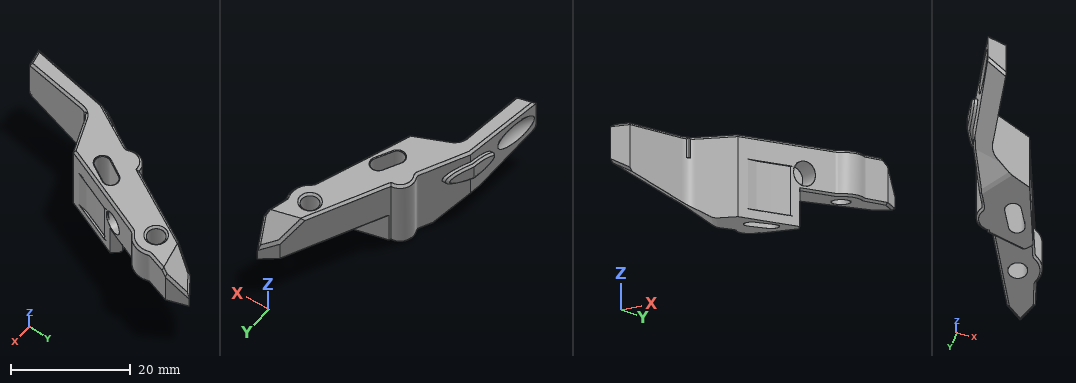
import cadquery as cq
import math

height = 14.25
plate_bottom = 6.3
top_chamfer = 0.45
bottom_chamfer = 0.4
tip_chamfer = 0.45
slope_rim_rise = 0.5

arm_tip = (0.0, 0.0)
arm_tip_right = (3.48, 0.78)
inner_corner = (5.42, 14.55)
right_corner = (13.3, 17.85)
right_bend = (14.6, 21.25)
lobe_root = (22.05, 40.2)
nose_right = (23.74, 45.75)
nose_tip = (22.35, 49.68)
nose_left = (19.3, 47.45)
left_bend = (2.58, 15.6)
inner_corner_radius = 2.5

hole_center = (18.55, 39.65)
right_lobe_radius = 4.1
right_lobe_fillet = 1.0
left_lobe_center = (9.6, 26.15)
left_lobe_radius = 2.75
left_lobe_fillet = 0.9

hole_diameter = 3.3
hole_mouth_diameter = 4.1
slot_center = (13.05, 24.75)
slot_width = 2.8
slot_length = 6.3
slot_angle = 61.0
slot_chamfer = 0.15
mouth_angle = 45.0

step_left = (9.9, 29.28)
step_right = (18.51, 31.23)
step_corner_chamfer = 2.2

bevel_left = (17.6, 43.5)
bevel_right = (23.2, 44.85)
bevel_angle = 45.0

arm_tip_left_foot = 7.8
arm_tip_right_foot = 6.1
bend_foot = (*left_bend, 3.6)
arm_slope_points = ((*arm_tip, arm_tip_left_foot), bend_foot, (5.4, 14.2, 2.48))
body_slope_points = ((6.1, 21.3, 0.0), (9.3, 16.4, 0.0), bend_foot)

pad_center = (15.5, 10.2)
pad_half_length = 4.85
pad_half_height = 1.8
pad_height = 0.95
pad_chamfer = 0.4

dimple_y = 4.8
dimple_z = 10.4
dimple_half_length = 4.4
dimple_half_height = 2.2
dimple_depth = 1.2

side_hole_x = 18.06
side_hole_z = 9.25
side_hole_diameter = 4.3
side_hole_depth = 4.0
recess_left = 14.0
recess_floor_left = 14.35
recess_floor_bend = 15.4
recess_right = 17.05
recess_bottom = 1.65
recess_top = 10.2
recess_depth_y = 1.0
groove_x = 5.68
groove_y = 14.27
groove_width = 0.38
groove_bottom = 10.6
groove_depth = 0.3

reach = 60.0
tolerance = 0.1


def point_on_line(start, end, x):
    """Point at the given X on the plan line through two points."""
    t = (x - start[0]) / (end[0] - start[0])
    return (x, start[1] + t * (end[1] - start[1]))


def direction(start, end):
    """Unit plan vector from start to end."""
    length = math.hypot(end[0] - start[0], end[1] - start[1])
    return ((end[0] - start[0]) / length, (end[1] - start[1]) / length)


def half_space(point, normal):
    """Large block on the side of a plane that its normal points to."""
    plane = cq.Plane(origin=point, normal=normal)
    return cq.Workplane(plane).rect(2 * reach, 2 * reach).extrude(reach)


def downward_normal(points):
    """Unit normal, pointing down, of the plane through three points."""
    a, b, c = (cq.Vector(*p) for p in points)
    normal = (b - a).cross(c - a).normalized()
    return normal * -1 if normal.z > 0 else normal


def below_plane(points):
    """Large block under the sloped plane through three points."""
    return half_space(points[0], downward_normal(points).toTuple())


def edges_near(solid, spots):
    """Upright edges that stand close to one of the plan points."""
    found = []
    for edge in solid.edges("|Z").vals():
        center = edge.Center()
        if any(math.hypot(center.x - s[0], center.y - s[1]) < tolerance for s in spots):
            found.append(edge)
    return solid.newObject(found)


def edge_nearest(solid, point):
    """List holding the one edge whose middle is nearest to the point."""
    return solid.edges(cq.selectors.NearestToPointSelector(point)).vals()


def midpoint(start, end):
    """Point halfway between two points."""
    return tuple((a + b) / 2 for a, b in zip(start, end))


def lobe_crossing(center, radius, start, end, side):
    """Where a lobe circle crosses a side line; side is -1 or +1 along it."""
    ux, uy = direction(start, end)
    along = (center[0] - start[0]) * ux + (center[1] - start[1]) * uy
    offset = (center[0] - start[0]) * uy - (center[1] - start[1]) * ux
    s = along + side * math.sqrt(radius ** 2 - offset ** 2)
    return (start[0] + s * ux, start[1] + s * uy)


def make_blank():
    """Full-height body with the lobes and the rounded plan corners."""
    outline = [arm_tip, arm_tip_right, inner_corner, right_corner,
               right_bend, lobe_root, nose_right, nose_tip, nose_left, left_bend]
    blank = cq.Workplane("XY").polyline(outline).close().extrude(height)
    ux, uy = direction(right_bend, nose_right)
    right_side = half_space((*hole_center, 0), (uy, -ux, 0))
    right_lobe = cq.Workplane("XY").center(*hole_center).circle(right_lobe_radius).extrude(height)
    left_lobe = cq.Workplane("XY").center(*left_lobe_center).circle(left_lobe_radius).extrude(height)
    blank = blank.union(right_lobe.intersect(right_side)).union(left_lobe)
    blank = edges_near(blank, [inner_corner]).fillet(inner_corner_radius)
    right_joints = [lobe_crossing(hole_center, right_lobe_radius, right_bend, lobe_root, -1),
                    lobe_crossing(hole_center, right_lobe_radius, lobe_root, nose_right, 1)]
    blank = edges_near(blank, right_joints).fillet(right_lobe_fillet)
    left_joint = lobe_crossing(left_lobe_center, left_lobe_radius, left_bend, nose_left, -1)
    return edges_near(blank, [left_joint]).fillet(left_lobe_fillet)


def cut_step(solid):
    """Remove everything under the plate behind the step wall."""
    ux, uy = direction(step_left, step_right)
    behind_wall = half_space((*step_left, 0), (-uy, ux, 0))
    under_plate = half_space((0, 0, plate_bottom), (0, 0, -1))
    solid = solid.cut(behind_wall.intersect(under_plate))
    return edges_near(solid, [step_right]).chamfer(step_corner_chamfer)


def cut_slopes(solid):
    """Slope the underside of the arm and of the body in front of it."""
    return solid.cut(below_plane(arm_slope_points).intersect(below_plane(body_slope_points)))


def bevel_normal():
    """Unit normal of the nose bevel, leaning towards the nose."""
    ux, uy = direction(bevel_left, bevel_right)
    lean = math.sin(math.radians(bevel_angle))
    return (-uy * lean, ux * lean, math.cos(math.radians(bevel_angle)))


def chamfer_top(solid):
    """Chamfer around the top face and the nose bevel, not the line between them."""
    normal = cq.Vector(*bevel_normal())
    top = solid.faces(">Z").edges().vals()
    bevel = max(solid.faces("%PLANE").vals(), key=lambda face: face.normalAt().dot(normal)).Edges()
    shared = [e for e in top if any(e.isSame(b) for b in bevel)]
    rim = [e for e in top + bevel if not any(e.isSame(s) for s in shared)]
    return solid.newObject(rim).chamfer(top_chamfer)


def is_left_of_body_axis(edge):
    """True for edges on the left side, or behind, of the line along the slot."""
    angle = math.radians(slot_angle)
    center = edge.Center()
    return (center.y - slot_center[1]) * math.cos(angle) > (center.x - slot_center[0]) * math.sin(angle)


def is_behind_step(edge):
    """True for edges clear of the step wall, on the plate side of it."""
    ux, uy = direction(step_left, step_right)
    center = edge.Center()
    return (center.y - step_left[1]) * ux - (center.x - step_left[0]) * uy > tolerance


def chamfer_undersides(solid):
    """Chamfer the plate's lower rim, the body's lower left rim and the foot of the arm tip."""
    body_rim = [e for e in solid.faces("<Z").edges().vals() if is_left_of_body_axis(e)]
    plate = [f for f in solid.faces("|Z").vals() if abs(f.Center().z - plate_bottom) < tolerance]
    plate_rim = [e for e in plate[0].Edges() if is_behind_step(e)]
    solid = solid.newObject(body_rim + plate_rim).chamfer(bottom_chamfer)
    left_foot = (*arm_tip, arm_tip_left_foot)
    right_foot = (*arm_tip_right, arm_tip_right_foot)
    tip_foot = edge_nearest(solid, midpoint(left_foot, right_foot))
    return solid.newObject(tip_foot).chamfer(tip_chamfer)


def trim_slope_rim(solid):
    """Break the edge between the left face and the body slope, fading out at the bend."""
    ux, uy = direction(left_bend, nose_left)
    normal = cq.Vector(-uy, ux, 0) + downward_normal(body_slope_points)
    edge_x, edge_y, edge_z = bend_foot
    return solid.cut(half_space((edge_x, edge_y, edge_z + slope_rim_rise), normal.toTuple()))


def cut_top_openings(solid):
    """Round hole and slot from top to bottom, both with a chamfered mouth."""
    hole = cq.Workplane("XY").center(*hole_center).circle(hole_diameter / 2).extrude(height)
    mouth_depth = (hole_mouth_diameter - hole_diameter) / 2
    mouth = (cq.Workplane("XY", origin=(*hole_center, height)).circle(hole_mouth_diameter / 2)
             .extrude(-mouth_depth, taper=mouth_angle))
    slot_plane = cq.Workplane("XY", origin=(*slot_center, 0)).transformed(rotate=(0, 0, slot_angle))
    slot = slot_plane.slot2D(slot_length, slot_width).extrude(height)
    slot_mouth = (slot_plane.workplane(offset=height)
                  .slot2D(slot_length + 2 * slot_chamfer, slot_width + 2 * slot_chamfer)
                  .extrude(-slot_chamfer, taper=mouth_angle))
    return solid.cut(hole).cut(mouth).cut(slot).cut(slot_mouth)


def make_pad(body):
    """Oval pad that follows the bend of the left face, with a chamfered rim."""
    arm_x, arm_y = direction(arm_tip, left_bend)
    body_x, body_y = direction(left_bend, nose_left)
    bisector = direction((0, 0), (-arm_y - body_y, arm_x + body_x))
    spread = pad_height / (bisector[0] * -arm_y + bisector[1] * arm_x)
    corner = (left_bend[0] + bisector[0] * spread, left_bend[1] + bisector[1] * spread)
    run = 2 * pad_half_length
    arm_end = (-arm_x * run, -arm_y * run)
    body_end = (body_x * run, body_y * run)
    band = (cq.Workplane("XY")
            .polyline([(left_bend[0] + body_end[0], left_bend[1] + body_end[1]),
                       (corner[0] + body_end[0], corner[1] + body_end[1]),
                       corner,
                       (corner[0] + arm_end[0], corner[1] + arm_end[1]),
                       (left_bend[0] + arm_end[0], left_bend[1] + arm_end[1]),
                       left_bend])
            .close().extrude(height))
    oval = (cq.Workplane("YZ", origin=(-reach / 2, 0, 0)).center(*pad_center)
            .ellipse(pad_half_length, pad_half_height).extrude(reach))
    pad = band.intersect(oval)
    rim = [e for e in pad.edges().vals()
           if e.geomType() != "LINE" and e.distance(body.val()) > pad_height / 2]
    return pad.newObject(rim).chamfer(pad_chamfer)


def make_dimple():
    """Elongated bowl: an ellipsoid of revolution whose centre stands off the arm face."""
    arm_x, arm_y = direction(arm_tip, left_bend)
    mouth = (arm_tip[0] + dimple_y * arm_x / arm_y, arm_tip[1] + dimple_y)
    round_radius = (dimple_half_height ** 2 + dimple_depth ** 2) / (2 * dimple_depth)
    half_length = round_radius * dimple_half_length / dimple_half_height
    stand_off = round_radius - dimple_depth
    center = (mouth[0] - arm_y * stand_off, mouth[1] + arm_x * stand_off, dimple_z)
    plane = cq.Plane(origin=center, xDir=(arm_x, arm_y, 0), normal=(0, 0, 1))
    return (cq.Workplane(plane).moveTo(half_length, 0)
            .ellipseArc(half_length, round_radius, 0, 180, startAtCurrent=True).close()
            .revolve(360, (0, 0, 0), (1, 0, 0)))


def make_side_hole():
    """Blind hole square to the right face."""
    ux, uy = direction(right_bend, lobe_root)
    mouth = (*point_on_line(right_bend, lobe_root, side_hole_x), side_hole_z)
    plane = cq.Plane(origin=mouth, xDir=(ux, uy, 0), normal=(uy, -ux, 0))
    return cq.Workplane(plane).circle(side_hole_diameter / 2).extrude(-side_hole_depth)


def make_recess():
    """Shallow rectangular recess across the bend of the right face."""
    left = point_on_line(right_corner, right_bend, recess_left)
    right = point_on_line(right_bend, lobe_root, recess_right)
    floor_left = point_on_line(right_corner, right_bend, recess_floor_left)
    floor_bend = point_on_line(right_corner, right_bend, recess_floor_bend)
    return (cq.Workplane("XY", origin=(0, 0, recess_bottom))
            .polyline([left,
                       right_bend,
                       right,
                       (right[0], right[1] + recess_depth_y),
                       (floor_bend[0], floor_bend[1] + recess_depth_y),
                       (floor_left[0], floor_left[1] + recess_depth_y)])
            .close().extrude(recess_top - recess_bottom))


def make_groove():
    """Short upright groove in the inner corner, open at the top."""
    return (cq.Workplane("XY", origin=(groove_x, groove_y, groove_bottom))
            .rect(groove_width, 2 * groove_depth).extrude(height - groove_bottom))


result = make_blank()
result = cut_step(result)
result = cut_slopes(result)
result = result.cut(half_space((*bevel_left, height), bevel_normal()))
result = chamfer_top(result)
result = chamfer_undersides(result)
result = trim_slope_rim(result)
result = cut_top_openings(result)
result = result.union(make_pad(result))
for pocket in (make_dimple(), make_side_hole(), make_recess(), make_groove()):
    result = result.cut(pocket)